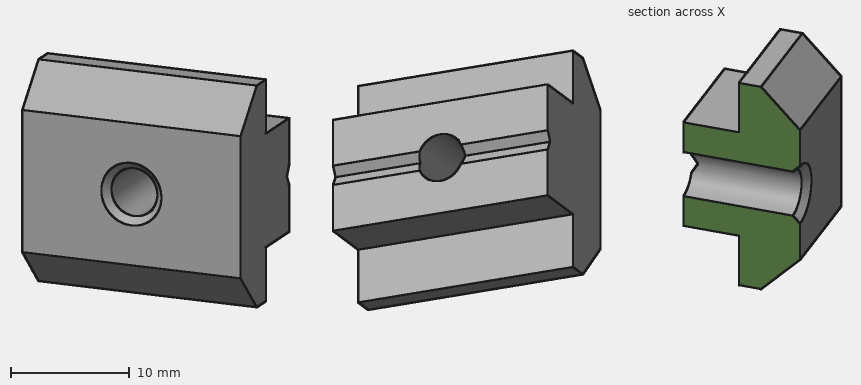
import cadquery as cq
import math

length = 20.0
depth = 10.5
height = 19.5

neck_depth = 5.0
neck_height = 10.0
bevel = 3.5

groove_depth = 0.5
groove_angle = 120.0

hole_diameter = 4.2
countersink_diameter = 5.5
countersink_angle = 90.0

front_y = -depth / 2
back_y = depth / 2
shoulder_y = back_y - neck_depth
groove_half_width = groove_depth * math.tan(math.radians(groove_angle / 2))


def make_body():
    """Extrude the bevelled T profile, with its groove, along X."""
    upper_half = [
        (front_y, height / 2 - bevel),
        (front_y + bevel, height / 2),
        (shoulder_y, height / 2),
        (shoulder_y, neck_height / 2),
        (back_y, neck_height / 2),
        (back_y, groove_half_width),
    ]
    groove_bottom = (back_y - groove_depth, 0)
    lower_half = [(y, -z) for y, z in reversed(upper_half)]
    profile = upper_half + [groove_bottom] + lower_half
    return cq.Workplane("YZ").polyline(profile).close().extrude(length / 2, both=True)


def drill_hole(body):
    """Drill the countersunk hole through the centre from the front face."""
    front_face = body.faces("<Y").workplane(origin=(0, front_y, 0))
    return front_face.cskHole(hole_diameter, countersink_diameter, countersink_angle)


result = drill_hole(make_body())